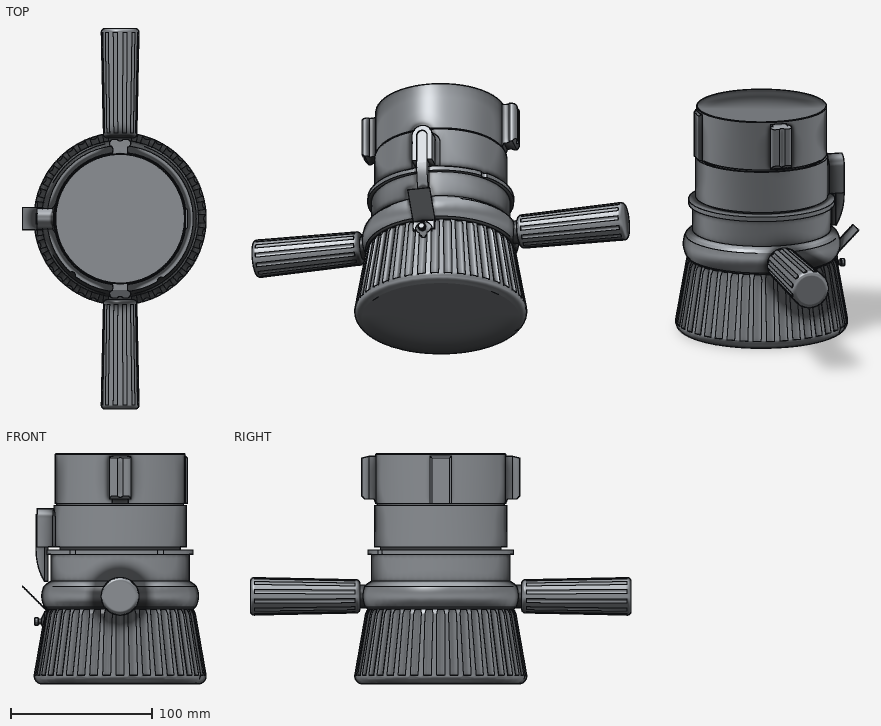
import cadquery as cq
import math

total_length = 270.0
total_height = 163.3
join_overlap = 2.7

bumper_radius = 61.0
bumper_bottom_radius = 56.2
bumper_edge_z = 6.5
bumper_shoulder_z = 49.7
bumper_shoulder_radius = 53.5
flute_count = 40
flute_tool_radius = 3.2
flute_depth = 1.8

collar_bottom_z = 53.2
collar_foot_z = 54.5
collar_foot_radius = 53.5
collar_middle_z = 61.5
collar_rim_z = 69.0
collar_radius = 55.5
collar_rim_radius = 54.0
collar_bottom_radius = 51.8

shoulder_radius = 52.0
shoulder_z = 71.0
shoulder_top_z = 73.0
barrel_radius = 98.3 / 2
flange_radius = 51.8
flange_bottom_z = 91.8
flange_top_z = 95.0
neck_radius = 85.5 / 2
swivel_radius = 47.0
swivel_bottom_z = 97.2
swivel_top_z = 126.5
coupling_radius = 46.2
coupling_bottom_z = 128.0
joint_radius = 45.0
coupling_chamfer = 0.5

notch_angles = (-130.5, -56.5)
notch_radius = 2.7
notch_depth = 1.5

handle_z = 62.0
grip_inner_y = 57.2
grip_inner_radius = 12.0
grip_outer_radius = 13.5
grip_round = 3.0
stem_radius = 8.0
grip_flute_count = 12
grip_flute_tool_radius = 2.2
grip_flute_depth = 0.67
grip_flute_start = 3.5
grip_flute_stop = 3.0

lug_reach = 56.2
lug_head_inner = 50.8
lug_half_width = 7.5
lug_neck_half_width = 5.5
lug_bottom_z = 131.0
lug_top_z = 161.5
lug_groove_radius = 2.5
lug_groove_depth = 1.0
lug_foot = 1.0
lug_chamfer = 2.5
lug_top_slope = 1.3
pad_reach = 47.8
pad_width = 15.0
pad_chamfer = 1.3

housing_reach = 58.9
housing_width = 14.3
housing_arc_z = 117.2
housing_base_width = 21.0
housing_base_reach = 48.0
housing_flare_inset = 1.3
lever_reach = 59.7
lever_width = 7.5
lever_top_z = 120.1
lever_curve_z = 94.5
lever_tip_z = 72.5
lever_back = 53.7
lever_strip_back = 51.0
lever_strip_width = 4.3

plate_tip_x = -69.5
plate_tip_z = 69.0
plate_root_x = -51.3
plate_thickness = 0.4
plate_width = 16.0
seat_reach = 53.7
seat_width = 15.5
seat_bottom_z = 44.8
seat_top_z = 51.3
knob_z = 44.3
knob_tip = 60.7
knob_head_length = 3.0
knob_head_radius = 2.7
knob_stem_radius = 2.0
knob_skirt_top = 56.0
knob_skirt_radius = 6.2
knob_head_chamfer = 0.5
knob_root = 50.0


def outward_cylinder(radius, inner, outer, z):
    """Cylinder along -X, between two distances from the main axis."""
    return cq.Workplane("YZ").center(0, z).circle(radius).extrude(outer - inner).translate((-outer, 0, 0))


def arched_block(width, arc_z, bottom_z, inner, outer):
    """Block on the -X side with a half-round top, between two distances from the main axis."""
    half = width / 2
    return (
        cq.Workplane("YZ")
        .moveTo(-half, bottom_z)
        .lineTo(-half, arc_z)
        .threePointArc((0, arc_z + half), (half, arc_z))
        .lineTo(half, bottom_z)
        .close()
        .extrude(outer - inner)
        .translate((-outer, 0, 0))
    )


def turned_body():
    """Everything that is round about the main axis, as one revolved outline."""
    bend = math.sqrt(0.5)
    round_x = bumper_radius - bumper_bottom_radius
    return (
        cq.Workplane("XZ")
        .moveTo(0, 0)
        .lineTo(bumper_bottom_radius, 0)
        .threePointArc(
            (bumper_bottom_radius + bend * round_x, bumper_edge_z * (1 - bend)),
            (bumper_radius, bumper_edge_z),
        )
        .lineTo(bumper_shoulder_radius, bumper_shoulder_z)
        .lineTo(collar_bottom_radius, collar_bottom_z)
        .lineTo(collar_foot_radius, collar_foot_z)
        .threePointArc((collar_radius, collar_middle_z), (collar_rim_radius, collar_rim_z))
        .lineTo(shoulder_radius, shoulder_z)
        .lineTo(barrel_radius, shoulder_top_z)
        .lineTo(barrel_radius, flange_bottom_z)
        .lineTo(flange_radius, flange_bottom_z)
        .lineTo(flange_radius, flange_top_z)
        .lineTo(neck_radius, flange_top_z)
        .lineTo(neck_radius, swivel_bottom_z)
        .lineTo(swivel_radius, swivel_bottom_z)
        .lineTo(swivel_radius, swivel_top_z)
        .lineTo(joint_radius, swivel_top_z)
        .lineTo(joint_radius, coupling_bottom_z)
        .lineTo(coupling_radius, coupling_bottom_z)
        .lineTo(coupling_radius, total_height - coupling_chamfer)
        .lineTo(coupling_radius - coupling_chamfer, total_height)
        .lineTo(0, total_height)
        .close()
        .revolve(360, (0, 0, 0), (0, 1, 0))
    )


def bumper_flutes():
    """Round-bottomed grooves that follow the cone and stop above its rounded edge."""
    rise = collar_bottom_z - bumper_edge_z
    slope = (bumper_radius - bumper_shoulder_radius) / (bumper_shoulder_z - bumper_edge_z)
    axis_offset = flute_tool_radius - flute_depth
    start = cq.Vector(bumper_radius + axis_offset, 0, bumper_edge_z)
    tool = cq.Solid.makeCylinder(
        flute_tool_radius, math.hypot(rise, rise * slope), start, cq.Vector(-slope, 0, 1)
    )
    step = 360 / flute_count
    return [tool.rotate((0, 0, 0), (0, 0, 1), i * step) for i in range(flute_count)]


def handle():
    """Tapered fluted grip on a round stem, pointing along +Z from the main axis."""
    length = total_length / 2 - grip_inner_y
    taper = (grip_outer_radius - grip_inner_radius) / length
    grip = (
        cq.Workplane("XY", origin=(0, 0, grip_inner_y))
        .circle(grip_inner_radius)
        .workplane(offset=length)
        .circle(grip_outer_radius)
        .loft()
    )
    grip = grip.faces("<Z or >Z").edges().fillet(grip_round)
    start_radius = grip_inner_radius + taper * grip_flute_start + grip_flute_tool_radius - grip_flute_depth
    flute = cq.Solid.makeCylinder(
        grip_flute_tool_radius,
        length - grip_flute_start - grip_flute_stop,
        cq.Vector(start_radius, 0, grip_inner_y + grip_flute_start),
        cq.Vector(taper, 0, 1),
    )
    step = 360 / grip_flute_count
    for i in range(grip_flute_count):
        grip = grip.cut(cq.Workplane(flute.rotate((0, 0, 0), (0, 0, 1), (i + 0.5) * step)))
    stem_start = barrel_radius - join_overlap
    stem_length = grip_inner_y + join_overlap - stem_start
    stem = cq.Workplane("XY", origin=(0, 0, stem_start)).circle(stem_radius).extrude(stem_length)
    return grip.union(stem)


def lug():
    """T-headed wrench lug on the -Y side, grooved along the middle of its outer face."""
    root = coupling_radius - join_overlap
    neck_mid = (root + lug_head_inner) / 2
    head_mid = (lug_reach + lug_head_inner) / 2
    shape = (
        cq.Workplane("XY", origin=(0, 0, coupling_bottom_z))
        .moveTo(-lug_half_width, -root)
        .threePointArc((-lug_neck_half_width, -neck_mid), (-lug_neck_half_width, -lug_head_inner))
        .threePointArc((-lug_half_width, -head_mid), (-lug_neck_half_width, -lug_reach))
        .lineTo(lug_neck_half_width, -lug_reach)
        .threePointArc((lug_half_width, -head_mid), (lug_neck_half_width, -lug_head_inner))
        .threePointArc((lug_neck_half_width, -neck_mid), (lug_half_width, -root))
        .close()
        .extrude(lug_top_z - coupling_bottom_z)
    )
    groove = (
        cq.Workplane("XY", origin=(0, lug_groove_depth - lug_groove_radius - lug_reach, lug_bottom_z))
        .circle(lug_groove_radius)
        .extrude(lug_top_z - lug_bottom_z)
    )
    side_outline = (
        cq.Workplane("YZ")
        .moveTo(0, coupling_bottom_z)
        .lineTo(-coupling_radius, coupling_bottom_z)
        .lineTo(-coupling_radius - lug_foot, lug_bottom_z)
        .lineTo(lug_chamfer - lug_reach, lug_bottom_z)
        .lineTo(-lug_reach, lug_bottom_z + lug_chamfer)
        .lineTo(-lug_reach, lug_top_z - lug_top_slope)
        .lineTo(-lug_head_inner, lug_top_z)
        .lineTo(0, lug_top_z)
        .close()
        .extrude(lug_half_width, both=True)
    )
    return shape.cut(groove).intersect(side_outline)


def pad():
    """Flat-faced pad on the +X side of the coupling, chamfered along its upright and top edges."""
    inner = coupling_radius - join_overlap
    return (
        cq.Workplane("XY", origin=((inner + pad_reach) / 2, 0, coupling_bottom_z))
        .rect(pad_reach - inner, pad_width)
        .extrude(lug_top_z - coupling_bottom_z)
        .edges(">X")
        .edges("|Z or >Z")
        .chamfer(pad_chamfer)
    )


def flange_notch(angle):
    """Cutter for a shallow round notch in the flange rim."""
    cutter = cq.Workplane("XY", origin=(flange_radius + notch_radius - notch_depth, 0, flange_bottom_z))
    cutter = cutter.circle(notch_radius).extrude(flange_top_z - flange_bottom_z)
    return cutter.rotate((0, 0, 0), (0, 0, 1), angle)


def lever_housing():
    """Arched block on the side of the swivel, flared where it meets it."""
    inner = neck_radius
    housing = arched_block(housing_width, housing_arc_z, swivel_bottom_z, inner, housing_reach)
    base_arc_z = swivel_top_z - housing_base_width / 2
    base = arched_block(housing_base_width, base_arc_z, swivel_bottom_z, inner, housing_base_reach)
    flare = housing_base_reach - swivel_radius + housing_flare_inset
    base = base.edges("<X").edges("not <Z").chamfer(flare, (housing_base_width - housing_width) / 2)
    return housing.union(base)


def lever():
    """Curved finger lever with a narrower strip behind it."""
    half = lever_width / 2
    blade = (
        cq.Workplane("XZ")
        .moveTo(-lever_back, lever_top_z)
        .lineTo(-lever_reach, lever_top_z)
        .lineTo(-lever_reach, lever_curve_z)
        .tangentArcPoint((-lever_back, lever_tip_z), relative=False)
        .close()
        .extrude(half, both=True)
    )
    arch = arched_block(lever_width, lever_top_z - half, lever_tip_z, lever_back, lever_reach)
    strip_height = swivel_bottom_z - lever_tip_z + join_overlap
    strip = cq.Workplane("XY", origin=(-(lever_back + lever_strip_back) / 2, 0, lever_tip_z)).rect(
        lever_back - lever_strip_back, lever_strip_width
    )
    return blade.intersect(arch).union(strip.extrude(strip_height))


def indicator_plate():
    """Thin plate sloping up and out from the foot of the collar."""
    run = plate_root_x - plate_tip_x
    offset = plate_thickness * math.sqrt(0.5)
    root_z = plate_tip_z - run
    return (
        cq.Workplane("XZ")
        .moveTo(plate_tip_x, plate_tip_z)
        .lineTo(plate_root_x, root_z)
        .lineTo(plate_root_x + offset, root_z + offset)
        .lineTo(plate_tip_x + offset, plate_tip_z + offset)
        .close()
        .extrude(plate_width / 2, both=True)
    )


def knob():
    """Headed pin on a conical skirt, standing on a flat seat let into the bumper."""
    seat = cq.Workplane("XY", origin=(-(knob_root + seat_reach) / 2, 0, seat_bottom_z)).rect(
        seat_reach - knob_root, seat_width
    )
    skirt = cq.Workplane(
        cq.Solid.makeCone(
            knob_skirt_radius,
            knob_stem_radius,
            knob_skirt_top - seat_reach,
            cq.Vector(-seat_reach, 0, knob_z),
            cq.Vector(-1, 0, 0),
        )
    )
    stem = outward_cylinder(knob_stem_radius, knob_root, knob_tip, knob_z)
    head = outward_cylinder(knob_head_radius, knob_tip - knob_head_length, knob_tip, knob_z)
    head = head.edges().chamfer(knob_head_chamfer)
    return seat.extrude(seat_top_z - seat_bottom_z).union(skirt).union(stem).union(head)


body = cq.Workplane(turned_body().val().cut(*bumper_flutes()))
for notch_angle in notch_angles:
    body = body.cut(flange_notch(notch_angle))

for side in (90, -90):
    body = body.union(handle().rotate((0, 0, 0), (1, 0, 0), side).translate((0, 0, handle_z)))
for turn in (0, 180):
    body = body.union(lug().rotate((0, 0, 0), (0, 0, 1), turn))

for feature in (pad(), lever_housing(), lever(), indicator_plate(), knob()):
    body = body.union(feature)

result = body